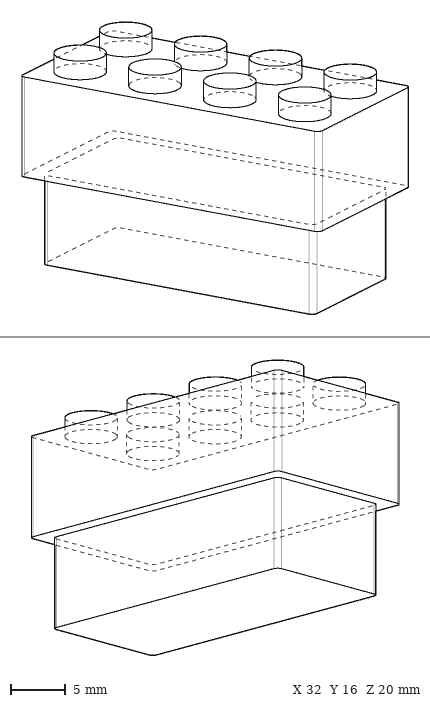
import cadquery as cq

length = 32
width = 16
total_height = 20.0

block_height = 9.6
base_inset = 1.5
corner_radius = 0.5

stud_diameter = 4.8
stud_height = 1.8
stud_columns = 4
stud_rows = 2
stud_pitch = length / stud_columns

base_height = total_height - block_height - stud_height


def rounded_block(size_x, size_y, height, bottom):
    """Centred block with rounded vertical edges, standing at the given level."""
    return (
        cq.Workplane("XY", origin=(0, 0, bottom))
        .rect(size_x, size_y)
        .extrude(height)
        .edges("|Z")
        .fillet(corner_radius)
    )


base = rounded_block(length - 2 * base_inset, width - 2 * base_inset, base_height, 0)
block = rounded_block(length, width, block_height, base_height)

studs = (
    cq.Workplane("XY", origin=(0, 0, base_height))
    .rarray(stud_pitch, stud_pitch, stud_columns, stud_rows)
    .circle(stud_diameter / 2)
    .extrude(block_height + stud_height)
)

result = base.union(block).union(studs)